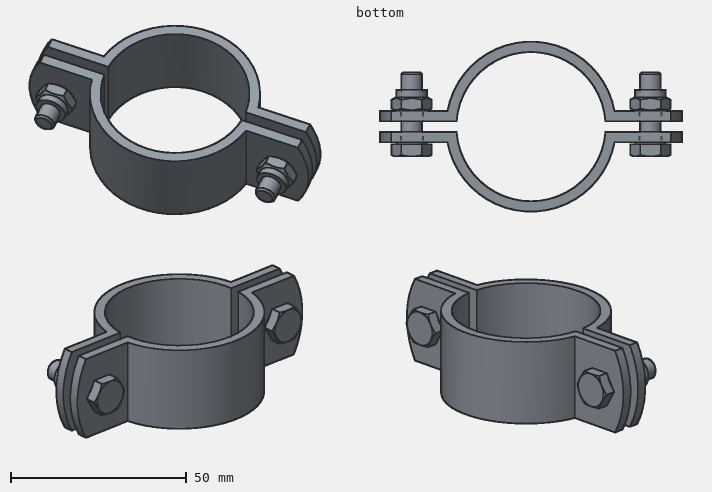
import cadquery as cq
import math

clamp_length = 86.0
clamp_width = 25.0
strap = 3.0
ring_outer_radius = 24.21
ring_inner_radius = ring_outer_radius - strap
gap = 3.0
ear_corner_inset = 3.3
ear_inner_face = gap / 2
ear_outer_face = ear_inner_face + strap

bolt_offset = 34.0
bolt_hole_diameter = 6.5
shank_diameter = 6.0
shank_tip_chamfer = 0.6
shank_tip_y = -15.5
across_flats = 10.0
hex_corner_radius = across_flats / math.sqrt(3)
chamfer_slope = math.tan(math.radians(30))

head_height = 3.5
head_top_radius = across_flats / 2
head_washer_diameter = 8.7
head_washer_height = 0.4
nut_seat_diameter = 9.3
nut_hex_height = 3.9
nut_collar_diameter = 8.9
nut_collar_height = 2.1


def cylinder_y(diameter, y_start, y_end, x=0):
    """Cylinder along Y between two Y positions, with its axis at z = 0."""
    profile = cq.Workplane("XZ", origin=(x, y_start, 0)).circle(diameter / 2)
    return profile.extrude(y_start - y_end)


def hexagon_y(y_low, y_high):
    """Sharp hexagonal prism along Y, with two corners on the X axis."""
    profile = cq.Workplane("XZ", origin=(0, y_low, 0)).polygon(6, 2 * hex_corner_radius)
    return profile.extrude(y_low - y_high)


def bevel_hex_end(hexagon, y_end, y_other_end, end_radius):
    """Turn the corners of a hexagon down to a cone that has end_radius at y_end."""
    inward = math.copysign(1, y_other_end - y_end)
    bevel_depth = (hex_corner_radius - end_radius) * chamfer_slope
    envelope = (
        cq.Workplane("XY")
        .moveTo(0, y_end)
        .lineTo(end_radius, y_end)
        .lineTo(hex_corner_radius, y_end + inward * bevel_depth)
        .lineTo(hex_corner_radius, y_other_end)
        .lineTo(0, y_other_end)
        .close()
        .revolve(360, (0, 0, 0), (0, 1, 0))
    )
    return hexagon.intersect(envelope)


def make_ear_outline():
    """Strip with both ends rounded, limiting the clamp as seen along Y."""
    tip_x = clamp_length / 2
    corner_x = tip_x - ear_corner_inset
    corner_z = clamp_width / 2
    return (
        cq.Workplane("XZ")
        .moveTo(-corner_x, -corner_z)
        .lineTo(corner_x, -corner_z)
        .threePointArc((tip_x, 0), (corner_x, corner_z))
        .lineTo(-corner_x, corner_z)
        .threePointArc((-tip_x, 0), (-corner_x, -corner_z))
        .close()
        .extrude(ring_outer_radius, both=True)
    )


def make_clamp_half(side):
    """Clamp half on the +Y (side = 1) or -Y (side = -1) side."""
    ring = cq.Workplane("XY").circle(ring_outer_radius).extrude(clamp_width / 2, both=True)
    ears = cq.Workplane("XY").box(clamp_length, 2 * ear_outer_face, clamp_width)
    bore = cq.Workplane("XY").circle(ring_inner_radius).extrude(clamp_width / 2, both=True)
    half_depth = ring_outer_radius - ear_inner_face
    half_space = cq.Workplane("XY").box(clamp_length, half_depth, clamp_width)
    half_space = half_space.translate((0, side * (ear_inner_face + half_depth / 2), 0))
    half = ring.union(ears).cut(bore).intersect(half_space).intersect(make_ear_outline())
    for x in (-bolt_offset, bolt_offset):
        half = half.cut(cylinder_y(bolt_hole_diameter, -ear_outer_face, ear_outer_face, x))
    return half


def make_bolt(x):
    """Hexagon bolt with its head on the +Y ear and its tip toward -Y."""
    head_bottom = ear_outer_face + head_washer_height
    head_top = head_bottom + head_height
    head = bevel_hex_end(hexagon_y(head_bottom, head_top), head_top, head_bottom, head_top_radius)
    washer_face = cylinder_y(head_washer_diameter, ear_outer_face, head_bottom)
    shank = cylinder_y(shank_diameter, shank_tip_y, head_bottom)
    shank = shank.faces("<Y").chamfer(shank_tip_chamfer)
    return head.union(washer_face).union(shank).translate((x, 0, 0))


def make_nut(x):
    """Collared hexagon nut seated on the -Y ear."""
    seat = -ear_outer_face
    hex_end = seat - nut_hex_height
    collar_end = hex_end - nut_collar_height
    nut = bevel_hex_end(hexagon_y(hex_end, seat), hex_end, seat, nut_collar_diameter / 2)
    nut = bevel_hex_end(nut, seat, hex_end, nut_seat_diameter / 2)
    nut = nut.union(cylinder_y(nut_collar_diameter, collar_end, hex_end))
    nut = nut.cut(cylinder_y(shank_diameter, collar_end, seat))
    return nut.translate((x, 0, 0))


clamp_halves = [make_clamp_half(side) for side in (-1, 1)]
bolts = [make_bolt(x) for x in (-bolt_offset, bolt_offset)]
nuts = [make_nut(x) for x in (-bolt_offset, bolt_offset)]

result = cq.Compound.makeCompound([body.val() for body in clamp_halves + bolts + nuts])